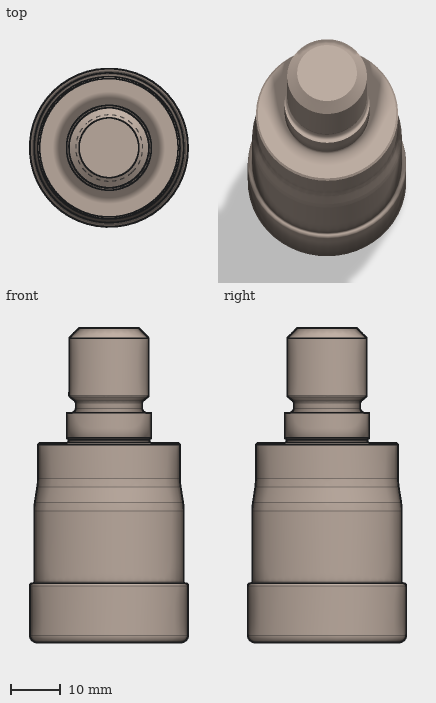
import cadquery as cq

TOTAL_HEIGHT = 63.0
SHANK_RADIUS = 8.0
SHANK_CHAMFER = 2.0
SHANK_BOTTOM = 49.3
SHANK_BLEND = 0.5
NECK_RADIUS = 6.7
NECK_TOP = 48.25
NECK_BLEND = 0.5
NECK_FILLET = 0.95
COLLAR_RADIUS = 8.5
COLLAR_TOP = 46.0
COLLAR_BOTTOM = 41.0
COLLAR_CHAMFER = 0.4
SEAT_FILLET = 0.4

HOUSING_TOP = 40.0
TOP_RADIUS = 14.25
TOP_CHAMFER = 0.4
BODY_RADIUS = 15.0
TAPER_TOP = 32.05
TAPER_BOTTOM = 27.3
BLEND_RADIUS = 10.7
FOOT_RADIUS = 15.9
FOOT_HEIGHT = 11.9
ROOT_FILLET = 0.25
FOOT_TOP_FILLET = 0.55
FOOT_BOTTOM_FILLET = 1.5


def rim(radius, height):
    """Selector for circular edges on the Z axis up to a radius, at one height."""
    margin = 0.05
    return cq.selectors.BoxSelector(
        (-radius - margin, -radius - margin, height - margin),
        (radius + margin, radius + margin, height + margin),
        boundingbox=True,
    )


def make_stud():
    """Stud standing on the flat top of the housing."""
    relief_radius = COLLAR_RADIUS - COLLAR_CHAMFER
    seat_radius = relief_radius + SEAT_FILLET
    blank = (
        cq.Workplane("XZ")
        .moveTo(0, HOUSING_TOP)
        .lineTo(seat_radius, HOUSING_TOP)
        .radiusArc((relief_radius, HOUSING_TOP + SEAT_FILLET), SEAT_FILLET)
        .lineTo(relief_radius, COLLAR_BOTTOM - COLLAR_CHAMFER)
        .lineTo(COLLAR_RADIUS, COLLAR_BOTTOM)
        .lineTo(COLLAR_RADIUS, COLLAR_TOP)
        .lineTo(NECK_RADIUS + NECK_FILLET, COLLAR_TOP)
        .radiusArc((NECK_RADIUS, COLLAR_TOP + NECK_FILLET), NECK_FILLET)
        .lineTo(NECK_RADIUS, NECK_TOP)
        .lineTo(SHANK_RADIUS, SHANK_BOTTOM)
        .lineTo(SHANK_RADIUS, TOTAL_HEIGHT)
        .lineTo(0, TOTAL_HEIGHT)
        .close()
        .revolve(360, (0, 0, 0), (0, 1, 0))
    )
    blended = blank.edges(rim(SHANK_RADIUS, SHANK_BOTTOM)).fillet(SHANK_BLEND)
    blended = blended.edges(rim(NECK_RADIUS, NECK_TOP)).fillet(NECK_BLEND)
    return blended.faces(">Z").edges().chamfer(SHANK_CHAMFER)


def make_housing():
    """Solid stepped sleeve with blended taper and rounded foot."""
    blank = (
        cq.Workplane("XZ")
        .lineTo(FOOT_RADIUS, 0)
        .lineTo(FOOT_RADIUS, FOOT_HEIGHT)
        .lineTo(BODY_RADIUS + ROOT_FILLET, FOOT_HEIGHT)
        .radiusArc((BODY_RADIUS, FOOT_HEIGHT + ROOT_FILLET), ROOT_FILLET)
        .lineTo(BODY_RADIUS, TAPER_BOTTOM)
        .lineTo(TOP_RADIUS, TAPER_TOP)
        .lineTo(TOP_RADIUS, HOUSING_TOP)
        .lineTo(0, HOUSING_TOP)
        .close()
        .revolve(360, (0, 0, 0), (0, 1, 0))
    )
    blended = blank.edges(rim(BODY_RADIUS, TAPER_BOTTOM)).fillet(BLEND_RADIUS)
    blended = blended.edges(rim(TOP_RADIUS, TAPER_TOP)).fillet(BLEND_RADIUS)
    topped = blended.faces(">Z").edges().chamfer(TOP_CHAMFER)
    rounded = topped.faces("<Z").edges().fillet(FOOT_BOTTOM_FILLET)
    foot_edges = rounded.edges(rim(FOOT_RADIUS, FOOT_HEIGHT))
    outer_edge = foot_edges.edges(cq.selectors.RadiusNthSelector(-1))
    return outer_edge.fillet(FOOT_TOP_FILLET)


stud = make_stud()
housing = make_housing()
result = cq.Compound.makeCompound([housing.val(), stud.val()])